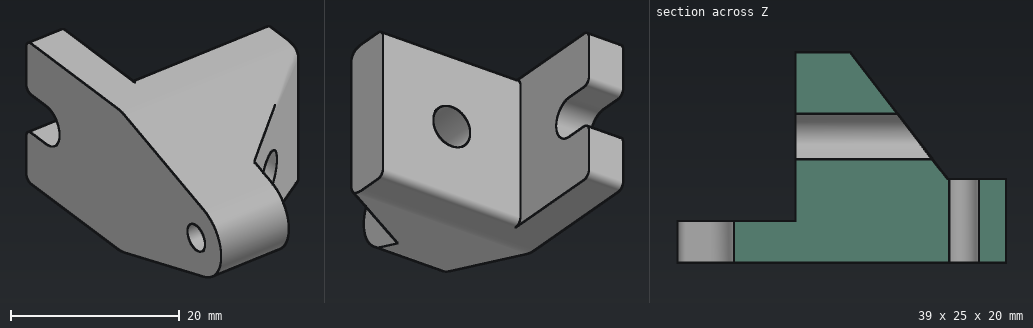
import cadquery as cq
import math

length = 38.98
depth = 25.0
height = 20.0
half_height = height / 2

plate_depth = 5.0
nose_depth = 9.98

nose_radius = 5.0
nose_x = length - nose_radius
shoulder_x = 19.0
shoulder_radius = 5.0
corner_radius = 1.0

upright_x = 14.0
ramp_top_x = 20.5
ramp_foot_x = 32.05
ramp_edge_radius = 1.4
fade_out_size = 0.02

nose_hole_diameter = 3.5
cross_hole_diameter = 5.38
cross_hole_y = (plate_depth + depth) / 2
slot_width = 5.38
slot_center_x = 4.0

zone_margin = 0.4

span_x = nose_x - shoulder_x
taper = math.atan2(half_height, span_x) - math.asin(nose_radius / math.hypot(span_x, half_height))
tangent_x = nose_x + nose_radius * math.sin(taper)
tangent_z = nose_radius * math.cos(taper)


def taper_height(x):
    """Height above the mid-plane of the tapered side at x."""
    return half_height - (x - shoulder_x) * math.tan(taper)


def xz_plane(y):
    """Workplane at the given Y, with local axes X and Z; a negative extrusion goes toward +Y."""
    return cq.Workplane("XZ", origin=(0, y, 0))


def zone_at(x):
    """Thin slab selector holding the edges centered at the given X."""
    return cq.selectors.BoxSelector(
        (x - zone_margin, -zone_margin, -height),
        (x + zone_margin, depth + zone_margin, height),
    )


def make_body():
    """Tapered outline intersected with the stepped, sloping side profile."""
    outline = (
        xz_plane(0)
        .moveTo(0, -half_height)
        .lineTo(shoulder_x, -half_height)
        .lineTo(tangent_x, -tangent_z)
        .threePointArc((length, 0), (tangent_x, tangent_z))
        .lineTo(shoulder_x, half_height)
        .lineTo(0, half_height)
        .close()
        .extrude(-depth)
    )
    outline = outline.edges("|Y").edges(zone_at(shoulder_x)).fillet(shoulder_radius)
    profile = (
        cq.Workplane("XY", origin=(0, 0, -half_height))
        .polyline([
            (0, 0),
            (length, 0),
            (length, nose_depth),
            (ramp_foot_x, nose_depth),
            (ramp_top_x, depth),
            (upright_x, depth),
            (upright_x, plate_depth),
            (0, plate_depth),
        ])
        .close()
        .extrude(height)
    )
    return outline.intersect(profile)


def cut_slot(body):
    """U-shaped slot, open at the -X end of the plate."""
    slot_end = xz_plane(0).center(slot_center_x, 0).circle(slot_width / 2).extrude(-plate_depth)
    slot_mouth = (
        xz_plane(0).center(slot_center_x / 2, 0).rect(slot_center_x, slot_width).extrude(-plate_depth)
    )
    return body.cut(slot_mouth.union(slot_end))


def round_corners(body):
    """Round the plate corners, the slot mouth and the back corners of the upright."""
    for x in (0, upright_x):
        body = body.edges("|Y").edges(zone_at(x)).fillet(corner_radius)
    return body


def ramp_edge_section(size):
    """Corner section of the edge rounding; size is 1 at the ramp top and 0 at the foot."""
    r = ramp_edge_radius * size
    x = ramp_foot_x + (ramp_top_x - ramp_foot_x) * size
    y = nose_depth + (depth - nose_depth) * size
    center_x = x - r
    center_z = taper_height(center_x) - r / math.cos(taper)

    def on_arc(angle):
        return cq.Vector(center_x + r * math.cos(angle), y, center_z + r * math.sin(angle))

    side_angle = math.pi / 2 - taper
    corner = cq.Vector(x, y, taper_height(x))
    return cq.Wire.assembleEdges([
        cq.Edge.makeLine(corner, on_arc(side_angle)),
        cq.Edge.makeThreePointArc(on_arc(side_angle), on_arc(side_angle / 2), on_arc(0)),
        cq.Edge.makeLine(on_arc(0), corner),
    ])


def ramp_edge_cutter():
    """Sliver that rounds a ramp edge: full radius at the top, fading out at the foot."""
    sections = [ramp_edge_section(1), ramp_edge_section(fade_out_size)]
    return cq.Workplane(cq.Solid.makeLoft(sections, True))


def cut_holes(body):
    """Pivot hole through the nose and cross hole through the upright and ramp."""
    nose_hole = xz_plane(0).center(nose_x, 0).circle(nose_hole_diameter / 2).extrude(-depth)
    cross_hole = (
        cq.Workplane("YZ").center(cross_hole_y, 0).circle(cross_hole_diameter / 2).extrude(length)
    )
    return body.cut(nose_hole).cut(cross_hole)


body = round_corners(cut_slot(make_body()))
upper_cutter = ramp_edge_cutter()
for cutter in (upper_cutter, upper_cutter.mirror("XY")):
    body = body.cut(cutter)
result = cut_holes(body)